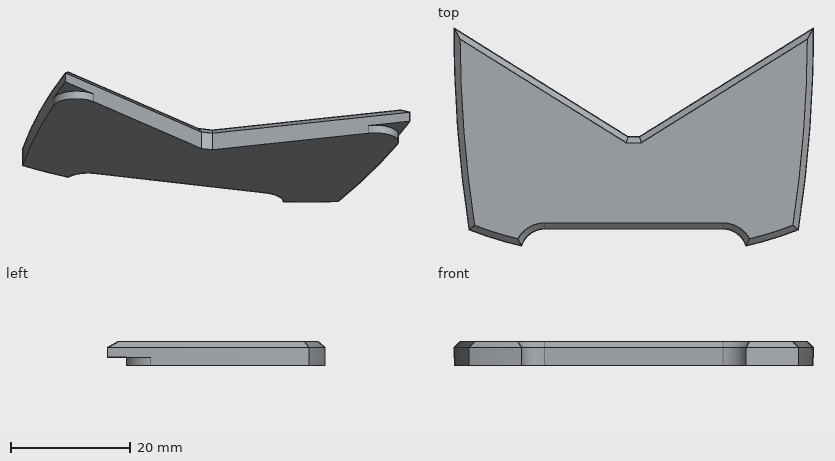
import cadquery as cq
import math

width = 60.3
depth = 36.55
thickness = 4.05
half_width = width / 2

valley_half_width = 0.95
valley_y = 18.35
foot_outer_x = 27.6
foot_outer_y = 2.7
foot_inner_x = 18.8
front_edge_half = 14.95
front_edge_y = 2.85
side_bulge = 0.65
foot_bulge = 0.2

chamfer_size = 1.0
lower_layer_height = 1.4
wing_round_radius = 3.9


def notch_midpoint(side):
    """Middle of the notch arc, which runs tangent into the front edge."""
    run = foot_inner_x - front_edge_half
    radius = (run**2 + front_edge_y**2) / (2 * front_edge_y)
    half_sweep = math.atan2(front_edge_y, run)
    x = front_edge_half + radius * math.sin(half_sweep)
    y = front_edge_y - radius * (1 - math.cos(half_sweep))
    return (side * x, y)


def bulge_midpoint(start, end, bulge):
    """Midpoint of an arc bulging to the right of the start-to-end direction."""
    dx = end[0] - start[0]
    dy = end[1] - start[1]
    length = math.hypot(dx, dy)
    x = (start[0] + end[0]) / 2 + bulge * dy / length
    y = (start[1] + end[1]) / 2 - bulge * dx / length
    return (x, y)


def plate(height):
    """Full outline extruded up from the underside."""
    left_tip = (-half_width, depth)
    right_tip = (half_width, depth)
    left_corner = (-foot_outer_x, foot_outer_y)
    right_corner = (foot_outer_x, foot_outer_y)
    left_foot = (-foot_inner_x, 0)
    right_foot = (foot_inner_x, 0)
    return (
        cq.Workplane("XY")
        .moveTo(*left_tip)
        .threePointArc(bulge_midpoint(left_tip, left_corner, side_bulge), left_corner)
        .threePointArc(bulge_midpoint(left_corner, left_foot, foot_bulge), left_foot)
        .threePointArc(notch_midpoint(-1), (-front_edge_half, front_edge_y))
        .lineTo(front_edge_half, front_edge_y)
        .threePointArc(notch_midpoint(1), right_foot)
        .threePointArc(bulge_midpoint(right_foot, right_corner, foot_bulge), right_corner)
        .threePointArc(bulge_midpoint(right_corner, right_tip, side_bulge), right_tip)
        .lineTo(valley_half_width, valley_y)
        .lineTo(-valley_half_width, valley_y)
        .close()
        .extrude(height)
    )


lower_layer = plate(lower_layer_height).edges("|Z and >Y").fillet(wing_round_radius)

upper_layer = (
    plate(thickness)
    .faces(">Z")
    .chamfer(chamfer_size)
    .intersect(
        cq.Workplane("XY")
        .workplane(offset=lower_layer_height)
        .rect(2 * width, 2 * depth)
        .extrude(thickness)
    )
)

result = upper_layer.union(lower_layer)